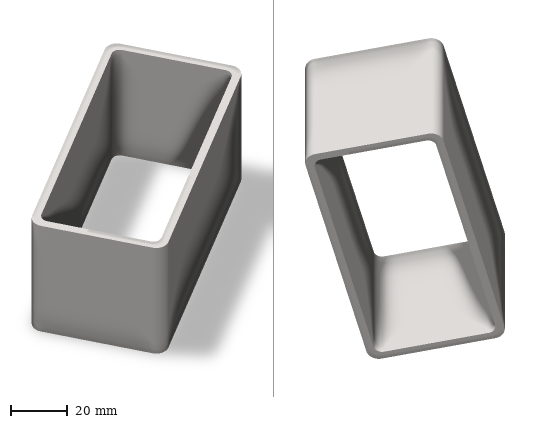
import cadquery as cq

width = 50.0
length = 100.0
height = 50.0
wall = 3.0
outer_radius = 4.5
inner_radius = 3.0


def rounded_block(size_x, size_y, corner_radius):
    """Full-height block with rounded vertical edges."""
    block = cq.Workplane("XY").box(size_x, size_y, height)
    return block.edges("|Z").fillet(corner_radius)


outside = rounded_block(width, length, outer_radius)
opening = rounded_block(width - 2 * wall, length - 2 * wall, inner_radius)

result = outside.cut(opening)